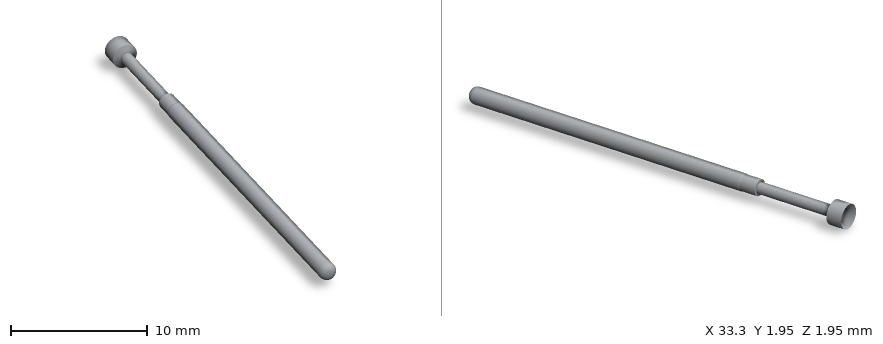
import cadquery as cq

total_length = 33.27

head_radius = 1.95 / 2
head_length = 1.3
head_taper_length = 0.25
cup_depth = head_radius

plunger_radius = 0.93 / 2

barrel_radius = 1.35 / 2
collar_radius = 1.3 / 2
collar_start = 7.82
collar_end = 9.18
shoulder_length = 0.1
tail_length = 0.53
tail_face_radius = barrel_radius - tail_length

head_end = head_length + head_taper_length
barrel_start = collar_end + shoulder_length
tail_start = total_length - tail_length
diagonal = 0.5 ** 0.5
tail_mid = (
    tail_start + tail_length * diagonal,
    tail_face_radius + tail_length * diagonal,
)

half_section = (
    cq.Workplane("XZ")
    .moveTo(cup_depth, 0)
    .lineTo(0, head_radius)
    .lineTo(head_length, head_radius)
    .lineTo(head_end, plunger_radius)
    .lineTo(collar_start, plunger_radius)
    .lineTo(collar_start, collar_radius)
    .lineTo(collar_end, collar_radius)
    .lineTo(barrel_start, barrel_radius)
    .lineTo(tail_start, barrel_radius)
    .threePointArc(tail_mid, (total_length, tail_face_radius))
    .lineTo(total_length, 0)
    .close()
)

result = half_section.revolve(360, (0, 0, 0), (1, 0, 0))